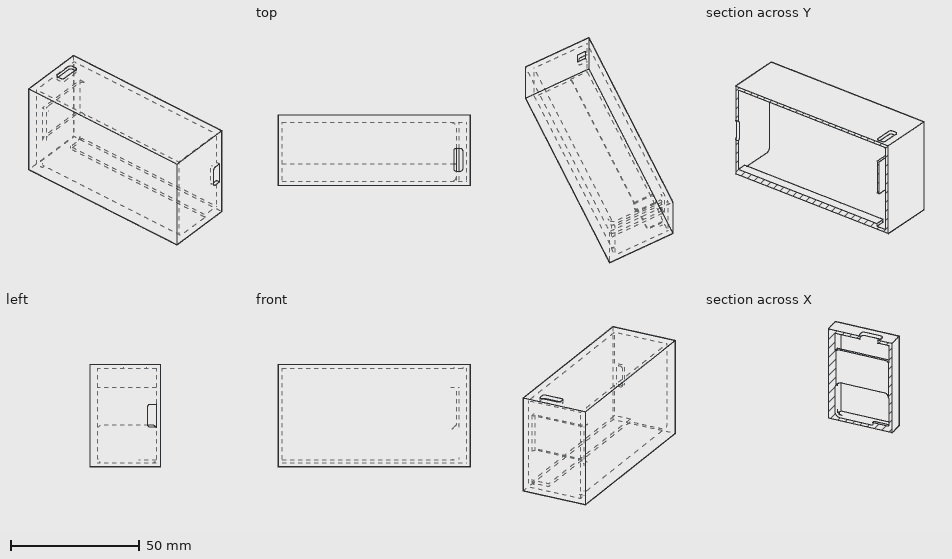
import cadquery as cq

LENGTH = 75.0
DEPTH = 27.5
HEIGHT = 40.0

WALL = 1.5
BACK_WALL = 2 * WALL
INNER_RADIUS = 2.0

PARTITION_FACE = 32.0
PARTITION_THICKNESS = 1.0
PARTITION_GAP = 7.5
PASSAGE_TOP = -3.5

STEP_BACK = -5.3
STEP_HEIGHT = 1.2

SLOT_LENGTH = 8.9
SLOT_WIDTH = 3.5
SLOT_RADIUS = 1.0
TOP_SLOT_X = 32.8
TOP_SLOT_Y = -3.75

LEFT = -LENGTH / 2 + WALL
RIGHT = LENGTH / 2 - WALL
FRONT = -DEPTH / 2 + WALL
BACK = DEPTH / 2 - BACK_WALL
FLOOR = -HEIGHT / 2 + WALL
CEILING = HEIGHT / 2 - WALL


def block(x_range, y_range, z_range):
    """Box filling the given ranges along X, Y and Z."""
    ranges = (x_range, y_range, z_range)
    corner = tuple(low for low, high in ranges)
    size = [high - low for low, high in ranges]
    return cq.Workplane("XY").box(*size, centered=False).translate(corner)


def main_chamber():
    """Large chamber, rounded at the partition corners and along the back of the floor."""
    chamber = block((LEFT, PARTITION_FACE), (FRONT, BACK), (FLOOR, CEILING))
    rounded_corners = chamber.edges("|Z and >X").fillet(INNER_RADIUS)
    rounded_floor = chamber.edges("|X and >Y and <Z").fillet(INNER_RADIUS)
    return rounded_corners.intersect(rounded_floor)


def end_chamber():
    """Narrow chamber behind the partition."""
    start = PARTITION_FACE + PARTITION_THICKNESS
    return block((start, RIGHT), (FRONT, BACK), (FLOOR, CEILING))


def partition_openings():
    """Gap over the partition and the rounded passage through its lower part."""
    x_range = (PARTITION_FACE - INNER_RADIUS, PARTITION_FACE + PARTITION_THICKNESS)
    gap = block(x_range, (FRONT, BACK), (CEILING - PARTITION_GAP, CEILING))
    passage = block(x_range, (FRONT, BACK), (FLOOR, PASSAGE_TOP))
    return gap.union(passage.edges("|X").fillet(INNER_RADIUS))


def left_slot():
    """Slot through the left wall, level with the inner front face and rounded at the back."""
    slot = block(
        (-LENGTH / 2, LEFT),
        (FRONT, FRONT + SLOT_WIDTH),
        (-SLOT_LENGTH / 2, SLOT_LENGTH / 2),
    )
    return slot.edges("|X and >Y").fillet(SLOT_RADIUS)


def top_slot():
    """Slot through the top wall, over the partition."""
    slot = block(
        (TOP_SLOT_X - SLOT_WIDTH / 2, TOP_SLOT_X + SLOT_WIDTH / 2),
        (TOP_SLOT_Y - SLOT_LENGTH / 2, TOP_SLOT_Y + SLOT_LENGTH / 2),
        (CEILING, HEIGHT / 2),
    )
    return slot.edges("|Z").fillet(SLOT_RADIUS)


def floor_step():
    """Low step along the front of the main chamber floor."""
    return block((LEFT, PARTITION_FACE), (FRONT, STEP_BACK), (FLOOR, FLOOR + STEP_HEIGHT))


result = (
    cq.Workplane("XY")
    .box(LENGTH, DEPTH, HEIGHT)
    .cut(main_chamber())
    .cut(end_chamber())
    .cut(partition_openings())
    .union(floor_step())
    .cut(left_slot())
    .cut(top_slot())
)